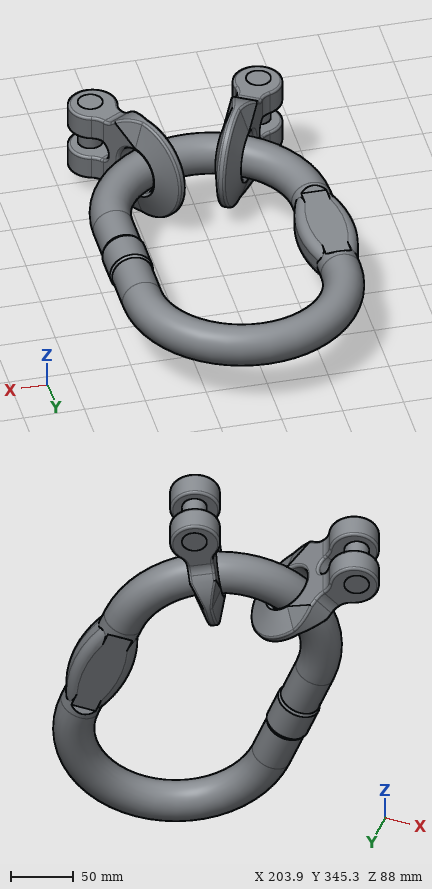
import cadquery as cq
import math

WIRE_DIAMETER = 33.0
WIRE_RADIUS = WIRE_DIAMETER / 2
BEND_RADIUS = 81.5
STRAIGHT_LENGTH = 100.2
HALF_STRAIGHT = STRAIGHT_LENGTH / 2

COLLAR_DIAMETER = 35.5
COLLAR_LENGTH = 31.8
COLLAR_TAPER = 2.8

FLAT_THICKNESS = 26.0
FLAT_HALF_LENGTH = 42.0
BULGE_WIDTH = 46.3
BULGE_SIDE_RADIUS = 110.5
BULGE_HALF_LENGTH = 45.0
BULGE_EDGE_RADIUS = 8.3

HEAD_DIAMETER = 40.0
HEAD_RADIUS = HEAD_DIAMETER / 2
HEAD_HEIGHT = 60.0
HALF_HEAD_HEIGHT = HEAD_HEIGHT / 2
FORK_GAP = 17.5
FORK_DEPTH = 28.5
PLATE_THICKNESS = 21.5
HALF_PLATE = PLATE_THICKNESS / 2
EYE_DISTANCE = 60.5
EYE_DIAMETER = 88.0
EYE_RADIUS = EYE_DIAMETER / 2
EYE_HOLE_RADIUS = 20.0
EYE_HOLE_ROUND = 2.5
EDGE_ROUND = 2.0

RIM_THICKNESS = 6.2
BEVEL_RADIUS = EYE_HOLE_RADIUS + EYE_HOLE_ROUND
BEVEL_CORNER_X = 37.3
BEVEL_CORNER_Z = 35.5
BEVEL_OVERREACH = 1.5

NECK_RADIUS = 13.8
NECK_X = math.sqrt((HEAD_RADIUS + NECK_RADIUS) ** 2 - (HALF_PLATE + NECK_RADIUS) ** 2)
SHOULDER_RADIUS = ((EYE_DISTANCE - NECK_X) ** 2 + HALF_HEAD_HEIGHT**2 - EYE_RADIUS**2) / (
    2 * (EYE_RADIUS - HALF_HEAD_HEIGHT)
)

PIN_DIAMETER = 20.0
PIN_OFFSET = 2.8

HEAD_X = 67.7
HEAD_Y = -177.2
CLEVIS_TILT = 30.0


def make_master_link():
    """Oval ring with the flattened grip on one leg and the weld collar on the other."""
    leg_x = BEND_RADIUS
    path = (
        cq.Workplane("XY")
        .moveTo(leg_x, 0)
        .lineTo(leg_x, HALF_STRAIGHT)
        .threePointArc((0, HALF_STRAIGHT + BEND_RADIUS), (-leg_x, HALF_STRAIGHT))
        .lineTo(-leg_x, -HALF_STRAIGHT)
        .threePointArc((0, -HALF_STRAIGHT - BEND_RADIUS), (leg_x, -HALF_STRAIGHT))
        .close()
    )
    ring = cq.Workplane("XZ", origin=(leg_x, 0, 0)).circle(WIRE_RADIUS).sweep(path)
    ring = ring.cut(make_flat_cutters()).union(make_bulge())
    return ring.union(make_collar())


def make_collar():
    """Weld collar with a short taper at each end."""
    half_length = COLLAR_LENGTH / 2
    half_land = half_length - COLLAR_TAPER
    collar_radius = COLLAR_DIAMETER / 2
    return (
        cq.Workplane("XY")
        .polyline([
            (0, -half_length),
            (WIRE_RADIUS, -half_length),
            (collar_radius, -half_land),
            (collar_radius, half_land),
            (WIRE_RADIUS, half_length),
            (0, half_length),
        ])
        .close()
        .revolve(360, (0, 0, 0), (0, 1, 0))
        .translate((BEND_RADIUS, 0, 0))
    )


def make_flat_cutters():
    """Trapezoid blocks that flatten the top and bottom of the -X leg."""
    depth = WIRE_RADIUS
    low = FLAT_THICKNESS / 2
    top = (
        cq.Workplane("YZ", origin=(-BEND_RADIUS, 0, 0))
        .polyline([
            (-FLAT_HALF_LENGTH, low),
            (FLAT_HALF_LENGTH, low),
            (FLAT_HALF_LENGTH + depth, low + depth),
            (-FLAT_HALF_LENGTH - depth, low + depth),
        ])
        .close()
        .extrude(WIRE_RADIUS, both=True)
    )
    return top.union(top.mirror("XY"))


def make_bulge():
    """Barrel-shaped swelling squeezed out sideways by the flats."""
    half_width = BULGE_WIDTH / 2
    sagitta = BULGE_SIDE_RADIUS - math.sqrt(BULGE_SIDE_RADIUS**2 - BULGE_HALF_LENGTH**2)
    end_half_width = half_width - sagitta
    return (
        cq.Workplane("XY")
        .moveTo(end_half_width, -BULGE_HALF_LENGTH)
        .threePointArc((half_width, 0), (end_half_width, BULGE_HALF_LENGTH))
        .lineTo(-end_half_width, BULGE_HALF_LENGTH)
        .threePointArc((-half_width, 0), (-end_half_width, -BULGE_HALF_LENGTH))
        .close()
        .extrude(FLAT_THICKNESS / 2, both=True)
        .edges("%CIRCLE")
        .fillet(BULGE_EDGE_RADIUS)
        .translate((-BEND_RADIUS, 0, 0))
    )


def tangent_point(center, radius, other):
    """Point on the circle around center that lies towards other."""
    distance = math.dist(center, other)
    return tuple(c + radius * (o - c) / distance for c, o in zip(center, other))


def arc_middle(center, radius, start, end):
    """Middle of the shorter arc from start to end on a circle."""
    chord_middle = tuple((a + b) / 2 for a, b in zip(start, end))
    return tangent_point(center, radius, chord_middle)


def make_plan_prism():
    """Outline seen along Z: round head blending into the straight plate."""
    hollow_y = HALF_PLATE + NECK_RADIUS
    hollow = (NECK_X, hollow_y)
    neck = (NECK_X, HALF_PLATE)
    on_head = tangent_point((0, 0), HEAD_RADIUS, hollow)
    middle = arc_middle(hollow, NECK_RADIUS, on_head, neck)
    plate_end = EYE_DISTANCE + EYE_RADIUS + HALF_PLATE
    return (
        cq.Workplane("XY")
        .moveTo(plate_end, HALF_PLATE)
        .lineTo(*neck)
        .threePointArc(middle, on_head)
        .threePointArc((-HEAD_RADIUS, 0), (on_head[0], -on_head[1]))
        .threePointArc((middle[0], -middle[1]), (neck[0], -neck[1]))
        .lineTo(plate_end, -HALF_PLATE)
        .close()
        .extrude(EYE_RADIUS, both=True)
    )


def make_side_prism():
    """Outline seen across the plate: round eye with shoulders down to the head."""
    eye = (EYE_DISTANCE, 0)
    hollow_z = HALF_HEAD_HEIGHT + SHOULDER_RADIUS
    hollow = (NECK_X, hollow_z)
    foot = (NECK_X, HALF_HEAD_HEIGHT)
    on_eye = tangent_point(eye, EYE_RADIUS, hollow)
    middle = arc_middle(hollow, SHOULDER_RADIUS, on_eye, foot)
    return (
        cq.Workplane("XZ")
        .moveTo(-HEAD_DIAMETER, HALF_HEAD_HEIGHT)
        .lineTo(*foot)
        .threePointArc(middle, on_eye)
        .threePointArc((EYE_DISTANCE + EYE_RADIUS, 0), (on_eye[0], -on_eye[1]))
        .threePointArc((middle[0], -middle[1]), (foot[0], -foot[1]))
        .lineTo(-HEAD_DIAMETER, -HALF_HEAD_HEIGHT)
        .close()
        .extrude(HEAD_DIAMETER, both=True)
    )


def make_bevel_cutter():
    """Material removed from one face (+Y) so that the eye thins towards its rim."""
    slope = (HALF_PLATE - RIM_THICKNESS / 2) / (EYE_RADIUS - BEVEL_RADIUS)
    outer_radius = BEVEL_OVERREACH * EYE_RADIUS
    outer_y = HALF_PLATE - slope * (outer_radius - BEVEL_RADIUS)
    inner = (BEVEL_RADIUS, HALF_PLATE)
    outer = (outer_radius, outer_y)
    corner = (outer_radius, HALF_PLATE)

    cone = (
        cq.Workplane("ZY", origin=(EYE_DISTANCE, 0, 0))
        .polyline([inner, outer, corner])
        .close()
        .revolve(180, (0, 0, 0), (0, 1, 0))
    )
    run_out = cq.Vector(BEVEL_CORNER_X - EYE_DISTANCE, 0, BEVEL_CORNER_Z - BEVEL_RADIUS)
    profile = cq.Wire.makePolygon(
        [cq.Vector(EYE_DISTANCE, y, z) for z, y in (inner, outer, corner)], close=True
    )
    flat = cq.Workplane(cq.Solid.extrudeLinear(profile, [], run_out * BEVEL_OVERREACH))
    return cone.union(flat).union(flat.mirror("XY"))


def make_fork_slot():
    """Gap between the two fork arms, rounded at its closed end."""
    end_radius = FORK_GAP / 2
    end_x = FORK_DEPTH - end_radius
    return (
        cq.Workplane("XZ")
        .moveTo(-HEAD_DIAMETER, -end_radius)
        .lineTo(end_x, -end_radius)
        .threePointArc((FORK_DEPTH, 0), (end_x, end_radius))
        .lineTo(-HEAD_DIAMETER, end_radius)
        .close()
        .extrude(HEAD_DIAMETER, both=True)
    )


def make_eye_hole():
    """Cutter for the eye hole, flaring into a rounded mouth at each face."""
    round_start = HALF_PLATE - EYE_HOLE_ROUND
    arc_offset = EYE_HOLE_ROUND * (1 - math.sqrt(0.5))
    mouth_x = EYE_HOLE_RADIUS + arc_offset
    mouth_y = HALF_PLATE - arc_offset
    return (
        cq.Workplane("XY")
        .moveTo(0, -HALF_PLATE)
        .lineTo(BEVEL_RADIUS, -HALF_PLATE)
        .threePointArc((mouth_x, -mouth_y), (EYE_HOLE_RADIUS, -round_start))
        .lineTo(EYE_HOLE_RADIUS, round_start)
        .threePointArc((mouth_x, mouth_y), (BEVEL_RADIUS, HALF_PLATE))
        .lineTo(0, HALF_PLATE)
        .close()
        .revolve(360, (0, 0, 0), (0, 1, 0))
        .translate((EYE_DISTANCE, 0, 0))
    )


def round_outer_edges(body):
    """Round every curved edge except where the bevels start at the eye hole."""
    reach = BEVEL_RADIUS + EDGE_ROUND
    inner_edges = cq.selectors.BoxSelector(
        (EYE_DISTANCE - reach, -reach, -reach),
        (EYE_DISTANCE + reach, reach, reach),
        boundingbox=True,
    )
    curved_edges = cq.selectors.StringSyntaxSelector("not %LINE")
    return body.edges(curved_edges - inner_edges).fillet(EDGE_ROUND)


def make_pin():
    """Pin across the fork, flush with both outer faces of the head."""
    return (
        cq.Workplane("XY", origin=(-PIN_OFFSET, 0, -HALF_HEAD_HEIGHT))
        .circle(PIN_DIAMETER / 2)
        .extrude(HEAD_HEIGHT)
    )


def make_clevis():
    """Forked coupling with a round eye that hangs on the master link."""
    bevel = make_bevel_cutter()
    body = (
        make_plan_prism()
        .intersect(make_side_prism())
        .cut(make_fork_slot())
        .cut(bevel)
        .cut(bevel.mirror("XZ"))
    )
    body = round_outer_edges(body)
    return body.cut(make_eye_hole()).cut(make_pin())


def place(body, side):
    """Move a clevis or pin to the -X (side = -1) or +X (side = 1) position."""
    angle = 90 + side * CLEVIS_TILT
    return body.rotate((0, 0, 0), (0, 0, 1), angle).translate((side * HEAD_X, HEAD_Y, 0))


master_link = make_master_link()
clevises = [place(make_clevis(), side) for side in (-1, 1)]
pins = [place(make_pin(), side) for side in (-1, 1)]

result = cq.Compound.makeCompound(
    [body.solids().val() for body in (master_link, *clevises, *pins)]
)